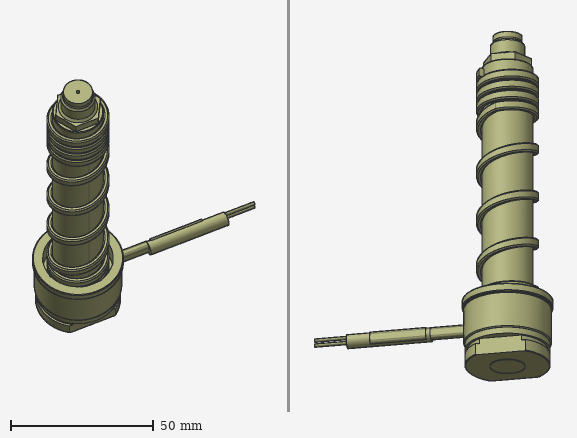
import cadquery as cq
import math

TOTAL_HEIGHT = 126.2
TUBE_RADIUS = 9.0
TUBE_TOP = 114.1
TUBE_TOP_CHAMFER = 0.3
HEX_ACROSS_FLATS = 15.0
HEX_TOP = 117.1
HEX_SIDES = 6
NECK_RADIUS = 6.05
NECK_BOTTOM = 118.0
NECK_TOP = 122.6
NECK_FOOT_RADIUS = 6.9
NOSE_BASE_RADIUS = 5.4
NOSE_BASE_Z = 123.4
NOSE_RADIUS = 5.15
NOSE_BOTTOM = 124.1
CENTRE_HOLE_RADIUS = 0.6
CENTRE_HOLE_DEPTH = 2.0

FLANGE_RADIUS = 16.0
FLANGE_BOTTOM = 22.3
FLANGE_TOP = 25.2
FLANGE_CHAMFER = 0.3
DRUM_RADIUS = 15.45
DRUM_BOTTOM = 8.7
DRUM_CHAMFER = 0.4
FLANGE_GROOVE_RADIUS = 15.2
FLANGE_GROOVE_WIDTH = 0.4
COLLAR_RADIUS = 15.0
COLLAR_BOTTOM = 6.4
FOOT_NECK_RADIUS = 14.2
FOOT_RADIUS = 15.0
FOOT_TOP = 4.6
FOOT_BOTTOM = 0.3
FOOT_CHAMFER = 0.25
FOOT_ACROSS_FLATS = 24.0
BASE_PAD_RADIUS = 6.2
RECESS_RADIUS = 12.4

BAND_HEIGHT = 3.3
BAND_OUTER_RADIUS = 10.95
BAND_EMBED = 0.2
BAND_EDGE_CHAMFER = 0.5
CLOSE_PITCH = 3.95
OPEN_PITCH = 18.1
OPEN_START_TURN = -0.30
OPEN_END_TURN = 3.47
SPRING_START_TURN = -2.3
SPRING_END_TURN = 7.35
OPEN_START_Z = 25.75

CABLE_Z = 14.7
CABLE_WIDTH = 2.9
CABLE_HEIGHT = 4.1
CABLE_X = -0.8
CABLE_EDGE_RADIUS = 0.8
CABLE_START_Y = 14.0
SLEEVE_START_Y = 27.3
SLEEVE_END_Y = 57.5
SLEEVE_RADIUS = 2.5
TAG_START_Y = 28.9
TAG_END_Y = 49.0
TAG_HEIGHT = 4.4
TAG_EDGE_RADIUS = 0.9
WIRE_RADIUS = 0.63
WIRE_SPACING = 1.9
WIRE_X = -1.15
WIRE_END_Y = 69.0


def disc(radius, bottom, top):
    return cq.Workplane("XY").workplane(offset=bottom).circle(radius).extrude(top - bottom)


def revolved(profile):
    """Revolve (radius, z) points around the Z axis."""
    return cq.Workplane("XZ").polyline(profile).close().revolve(360, (0, 0), (0, 1))


def rod(x, z, radius, start_y, end_y):
    """Round bar along +Y."""
    return cq.Workplane("XZ", origin=(x, start_y, z)).circle(radius).extrude(start_y - end_y)


def make_stem():
    stem = revolved([
        (0, COLLAR_BOTTOM),
        (TUBE_RADIUS, COLLAR_BOTTOM),
        (TUBE_RADIUS, TUBE_TOP - TUBE_TOP_CHAMFER),
        (TUBE_RADIUS - TUBE_TOP_CHAMFER, TUBE_TOP),
        (NECK_FOOT_RADIUS, TUBE_TOP),
        (NECK_FOOT_RADIUS, HEX_TOP),
        (NECK_RADIUS, NECK_BOTTOM),
        (NECK_RADIUS, NECK_TOP),
        (NOSE_BASE_RADIUS, NOSE_BASE_Z),
        (NOSE_RADIUS, NOSE_BOTTOM),
        (NOSE_RADIUS, TOTAL_HEIGHT),
        (0, TOTAL_HEIGHT),
    ])
    hex_corner_diameter = HEX_ACROSS_FLATS / math.cos(math.pi / HEX_SIDES)
    hexagon = (
        cq.Workplane("XY").workplane(offset=TUBE_TOP)
        .polygon(HEX_SIDES, hex_corner_diameter).extrude(HEX_TOP - TUBE_TOP)
        .rotate((0, 0, 0), (0, 0, 1), 180 / HEX_SIDES)
    )
    centre_hole = disc(CENTRE_HOLE_RADIUS, TOTAL_HEIGHT - CENTRE_HOLE_DEPTH, TOTAL_HEIGHT)
    return stem.union(hexagon).cut(centre_hole)


def make_housing(recess_floor):
    flange = disc(FLANGE_RADIUS, FLANGE_BOTTOM, FLANGE_TOP).edges().chamfer(FLANGE_CHAMFER)
    drum_top = FLANGE_BOTTOM - FLANGE_GROOVE_WIDTH
    drum = disc(DRUM_RADIUS, DRUM_BOTTOM, drum_top).faces("<Z").edges().chamfer(DRUM_CHAMFER)
    groove = disc(FLANGE_GROOVE_RADIUS, drum_top, FLANGE_BOTTOM)
    collar = disc(COLLAR_RADIUS, COLLAR_BOTTOM, DRUM_BOTTOM)
    foot = disc(FOOT_RADIUS, FOOT_BOTTOM, FOOT_TOP).faces("<Z").edges().chamfer(FOOT_CHAMFER)
    foot = foot.union(disc(FOOT_NECK_RADIUS, FOOT_TOP, COLLAR_BOTTOM))
    between_flats = cq.Workplane("XY").box(
        FOOT_ACROSS_FLATS, 2 * FOOT_RADIUS, COLLAR_BOTTOM, centered=(True, True, False)
    )
    base_pad = disc(BASE_PAD_RADIUS, 0, FOOT_BOTTOM)
    recess = disc(RECESS_RADIUS, recess_floor, FLANGE_TOP)
    housing = flange.union(groove).union(drum).union(collar)
    return housing.union(foot.intersect(between_flats)).union(base_pad).cut(recess)


def make_coils(start_turn, end_turn, start_z, pitch):
    """Wind one run of constant pitch, its band underside starting at start_z."""
    inner = TUBE_RADIUS - BAND_EMBED
    height = pitch * (end_turn - start_turn)
    helix = cq.Wire.makeHelix(pitch, height, BAND_OUTER_RADIUS)
    edge = BAND_OUTER_RADIUS - BAND_EDGE_CHAMFER
    inner_edge = TUBE_RADIUS + BAND_EDGE_CHAMFER
    inner_rise = inner_edge - inner
    band = cq.Workplane("XZ").polyline([
        (inner, inner_rise),
        (inner_edge, 0),
        (edge, 0),
        (BAND_OUTER_RADIUS, BAND_EDGE_CHAMFER),
        (BAND_OUTER_RADIUS, BAND_HEIGHT - BAND_EDGE_CHAMFER),
        (edge, BAND_HEIGHT),
        (inner_edge, BAND_HEIGHT),
        (inner, BAND_HEIGHT - inner_rise),
    ]).close()
    coils = band.sweep(cq.Workplane(obj=helix), isFrenet=True)
    return coils.rotate((0, 0, 0), (0, 0, 1), 360 * start_turn).translate((0, 0, start_z))


def make_cable():
    cable = (
        cq.Workplane("XY")
        .box(CABLE_WIDTH, SLEEVE_START_Y - CABLE_START_Y, CABLE_HEIGHT, centered=(True, False, True))
        .edges("|Y").fillet(CABLE_EDGE_RADIUS)
        .translate((CABLE_X, CABLE_START_Y, CABLE_Z))
    )
    sleeve = rod(0, CABLE_Z, SLEEVE_RADIUS, SLEEVE_START_Y, SLEEVE_END_Y)
    tag = (
        cq.Workplane("XY")
        .box(SLEEVE_RADIUS, TAG_END_Y - TAG_START_Y, TAG_HEIGHT, centered=False)
        .edges("|Y and <X").fillet(TAG_EDGE_RADIUS)
        .translate((-SLEEVE_RADIUS, TAG_START_Y, CABLE_Z - TAG_HEIGHT / 2))
    )
    cable = cable.union(sleeve).union(tag)
    for side in (-1, 1):
        wire_z = CABLE_Z + side * WIRE_SPACING / 2
        cable = cable.union(rod(WIRE_X, wire_z, WIRE_RADIUS, SLEEVE_END_Y, WIRE_END_Y))
    return cable


spring_start_z = OPEN_START_Z - CLOSE_PITCH * (OPEN_START_TURN - SPRING_START_TURN)
open_end_z = OPEN_START_Z + OPEN_PITCH * (OPEN_END_TURN - OPEN_START_TURN)

result = make_stem().union(make_housing(spring_start_z))
result = result.union(make_coils(SPRING_START_TURN, OPEN_START_TURN, spring_start_z, CLOSE_PITCH))
result = result.union(make_coils(OPEN_START_TURN, OPEN_END_TURN, OPEN_START_Z, OPEN_PITCH))
result = result.union(make_coils(OPEN_END_TURN, SPRING_END_TURN, open_end_z, CLOSE_PITCH))
result = result.union(make_cable())